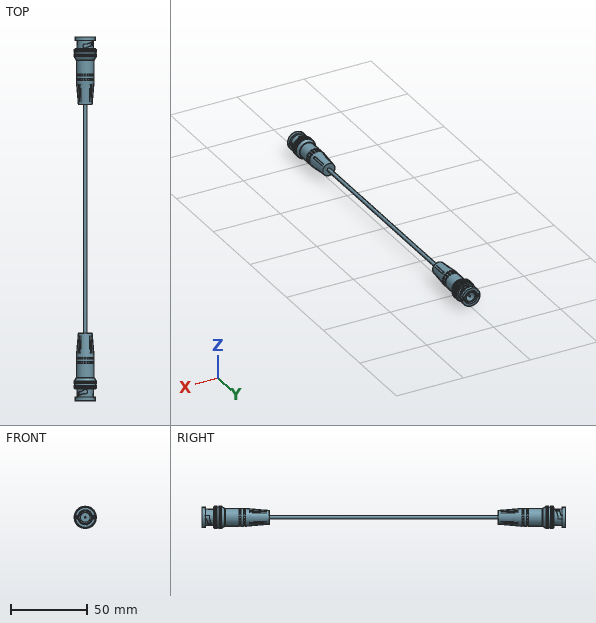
import cadquery as cq
import math


OVERALL_LENGTH = 238.5

FLANGE_RADIUS = 6.7
FLANGE_DEPTH = 2.5
NECK_RADIUS = 11.0 / 2
RING_RADIUS = 14.5 / 2
RING_START = 7.6
RING_END = 13.0
RING_CHAMFER = 0.7
RING_GROOVE_WIDTH = 1.5
RING_GROOVE_DEPTH = 0.35
CONE_END_RADIUS = 6.0
CONNECTOR_LENGTH = 15.0
SOCKET_RADIUS = 4.8
SOCKET_DEPTH = 12.0

KNURL_COUNT = 60
KNURL_DEPTH = 0.2

CONTACT_OUTER_RADIUS = 4.0
CONTACT_INNER_RADIUS = 6.5 / 2
CONTACT_RECESS = 0.7
PIN_RADIUS = 0.5
PIN_RECESS = 1.5

TRACK_WIDTH = 2.1
TRACK_START = 3.8
TRACK_END = 6.0
TRACK_TURN = 90.0
ENTRY_RADIUS = 11.7 / 2
DETENT_RADIUS = 1.5

BOOT_END_RADIUS = 4.5
BOOT_TAPER = 1.31
BOOT_RADIUS = BOOT_END_RADIUS + BOOT_TAPER
BOOT_END = 44.5
BOOT_TAPER_START = 29.3
BOOT_CHAMFER = 0.35
SLOT_COUNT = 4
SLOT_START = 31.3
SLOT_WIDTH = 1.5
SLOT_FLOOR_RADIUS = 9.3 / 2
POCKET_WIDTH = 1.2
POCKET_LENGTH = 1.2
POCKET_COUNT = 16
POCKET_ROW_CENTRES = (25.0, 28.0)
POCKET_DEPTH = 0.29

CABLE_RADIUS = 1.25


def revolved(profile):
    """Turn a closed (radius, y) outline about the Y axis."""
    return cq.Workplane("XY").polyline(profile).close().revolve(360, (0, 0), (0, 1))


def cylinder(radius, start, end):
    """Solid cylinder on the Y axis between two depths."""
    return cq.Workplane("XZ", origin=(0, -start, 0)).circle(radius).extrude(end - start)


def shell_body():
    """Turned outside of the connector with its socket and the groove round the ring."""
    ring_shoulder = RING_RADIUS - RING_CHAMFER
    shell = revolved([
        (0, 0),
        (FLANGE_RADIUS, 0),
        (FLANGE_RADIUS, -FLANGE_DEPTH),
        (NECK_RADIUS, -FLANGE_DEPTH),
        (NECK_RADIUS, -RING_START),
        (ring_shoulder, -RING_START),
        (RING_RADIUS, -RING_START - RING_CHAMFER),
        (RING_RADIUS, -RING_END),
        (CONE_END_RADIUS, -CONNECTOR_LENGTH),
        (0, -CONNECTOR_LENGTH),
    ])
    socket = cylinder(SOCKET_RADIUS, 0, SOCKET_DEPTH)
    groove_middle = (RING_START + RING_CHAMFER + RING_END) / 2
    groove_start = groove_middle - RING_GROOVE_WIDTH / 2
    groove_end = groove_middle + RING_GROOVE_WIDTH / 2
    groove = cylinder(RING_RADIUS + RING_GROOVE_DEPTH, groove_start, groove_end).cut(
        cylinder(RING_RADIUS - RING_GROOVE_DEPTH, groove_start, groove_end)
    )
    return shell.cut(socket).cut(groove)


def knurl_cutter():
    """Ring whose inner outline is the zigzag of the knurl teeth."""
    zigzag = []
    for step in range(2 * KNURL_COUNT):
        radius = RING_RADIUS - KNURL_DEPTH * (step % 2)
        angle = math.pi * step / KNURL_COUNT
        zigzag.append((radius * math.cos(angle), radius * math.sin(angle)))
    length = RING_END - RING_START
    plane = cq.Workplane("XZ", origin=(0, -RING_START, 0))
    teeth = plane.polyline(zigzag).close().extrude(length)
    return cylinder(RING_RADIUS + KNURL_DEPTH, RING_START, RING_END).cut(teeth)


def bayonet_track():
    """Three cutters of one track, from its entry at +X round to its detent at +Z."""
    entry_length = TRACK_START + TRACK_WIDTH / 2
    entry_strip = cq.Workplane("XY").box(
        ENTRY_RADIUS, entry_length, TRACK_WIDTH, centered=(False, False, True)
    ).translate((0, -entry_length, 0))
    entry = entry_strip.intersect(cylinder(ENTRY_RADIUS, 0, entry_length))
    wall_middle = (SOCKET_RADIUS + NECK_RADIUS) / 2
    rise = TRACK_END - TRACK_START
    helix = cq.Wire.makeHelix(rise * 360 / TRACK_TURN, rise, wall_middle)
    slot = (
        cq.Workplane("XZ", origin=(wall_middle, 0, 0))
        .rect(2 * (ENTRY_RADIUS - wall_middle), TRACK_WIDTH)
        .sweep(cq.Workplane(obj=helix), isFrenet=True)
        .rotate((0, 0, 0), (1, 0, 0), 90)
        .translate((0, -TRACK_START, 0))
    )
    detent = (
        cq.Workplane("XY", origin=(0, -TRACK_END, CONTACT_OUTER_RADIUS))
        .circle(DETENT_RADIUS)
        .extrude(RING_RADIUS - CONTACT_OUTER_RADIUS)
    )
    return entry, slot, detent


def contact():
    """Contact tube and centre pin, standing on one foot that fills the socket floor."""
    foot = cylinder(CONTACT_OUTER_RADIUS, SOCKET_DEPTH, CONNECTOR_LENGTH)
    tube = cylinder(CONTACT_OUTER_RADIUS, CONTACT_RECESS, SOCKET_DEPTH).cut(
        cylinder(CONTACT_INNER_RADIUS, CONTACT_RECESS, SOCKET_DEPTH)
    )
    pin = cylinder(PIN_RADIUS, PIN_RECESS, SOCKET_DEPTH)
    return foot.union(tube).union(pin)


def connector():
    """One body: knurled shell with two opposite bayonet tracks, and its contact."""
    body = shell_body().cut(knurl_cutter())
    for turn in (0, 180):
        for cutter in bayonet_track():
            body = body.cut(cutter.rotate((0, 0, 0), (0, 1, 0), turn))
    return body.union(contact())


def grip_pocket(depth):
    """Cutter for one shallow pocket on the +Z side of the boot."""
    return (
        cq.Workplane("XY", origin=(0, -depth, BOOT_RADIUS - POCKET_DEPTH))
        .rect(POCKET_WIDTH, POCKET_LENGTH)
        .extrude(BOOT_RADIUS)
    )


def tail_slot():
    """Slot with a level floor that runs out on the taper of the boot."""
    return cq.Workplane("XY").box(
        SLOT_WIDTH, BOOT_END - SLOT_START, BOOT_RADIUS, centered=(True, False, False)
    ).translate((0, -BOOT_END, SLOT_FLOOR_RADIUS))


def boot():
    """One body: cable sleeve with rows of grip pockets and a slotted, tapered tail."""
    body = revolved([
        (CABLE_RADIUS, -CONNECTOR_LENGTH),
        (BOOT_RADIUS - BOOT_CHAMFER, -CONNECTOR_LENGTH),
        (BOOT_RADIUS, -CONNECTOR_LENGTH - BOOT_CHAMFER),
        (BOOT_RADIUS, -BOOT_TAPER_START),
        (BOOT_END_RADIUS, -BOOT_END),
        (CABLE_RADIUS, -BOOT_END),
    ])
    for side in range(SLOT_COUNT):
        turn = side * 360 / SLOT_COUNT
        body = body.cut(tail_slot().rotate((0, 0, 0), (0, 1, 0), turn + 180 / SLOT_COUNT))
    for depth in POCKET_ROW_CENTRES:
        for index in range(POCKET_COUNT):
            turn = index * 360 / POCKET_COUNT
            body = body.cut(grip_pocket(depth).rotate((0, 0, 0), (0, 1, 0), turn))
    return body


def cable():
    """One body: round cable from connector to connector, through both boots."""
    return cylinder(CABLE_RADIUS, CONNECTOR_LENGTH, OVERALL_LENGTH - CONNECTOR_LENGTH).translate(
        (0, OVERALL_LENGTH / 2, 0)
    )


bodies = [cable().val()]
for end_turn in (0, 180):
    for part in (connector(), boot()):
        placed = part.translate((0, OVERALL_LENGTH / 2, 0)).rotate((0, 0, 0), (0, 0, 1), end_turn)
        bodies.append(placed.val())

result = cq.Compound.makeCompound(bodies)